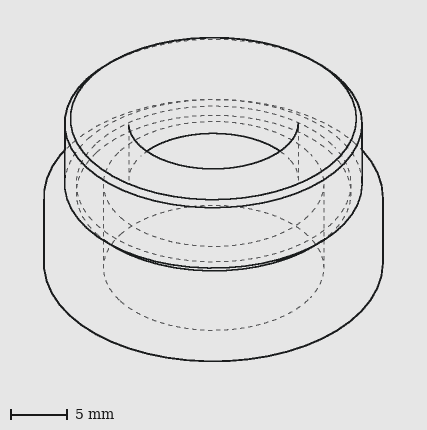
import cadquery as cq
import math

flange_diameter = 30.0
height = 16.0
flange_height = 8.0
neck_diameter = 24.3
neck_height = 1.0
spigot_diameter = 26.3
bore_diameter = 15.0
counterbore_diameter = 19.5
counterbore_depth = 9.0
edge_size = 0.5

spigot_base = flange_height + neck_height
spigot_height = height - spigot_base


def disc(diameter, thickness, base):
    """Solid disc on the Z axis, standing on the given height."""
    return cq.Workplane("XY").workplane(offset=base).circle(diameter / 2).extrude(thickness)


flange = disc(flange_diameter, flange_height, 0).edges().fillet(edge_size)

neck = disc(neck_diameter, neck_height, flange_height)

spigot = disc(spigot_diameter, spigot_height, spigot_base).faces(">Z").edges().chamfer(edge_size)

body = flange.union(neck).union(spigot)
counterbore = disc(counterbore_diameter, counterbore_depth, 0)
bore_length = height - counterbore_depth
bore_radius = bore_diameter / 2
mouth_radius = bore_radius + edge_size
corner_inset = edge_size * (1 - math.sqrt(0.5))
bore = (
    cq.Workplane("XZ", origin=(0, 0, counterbore_depth))
    .lineTo(mouth_radius, 0)
    .threePointArc((bore_radius + corner_inset, corner_inset), (bore_radius, edge_size))
    .lineTo(bore_radius, bore_length - edge_size)
    .threePointArc((bore_radius + corner_inset, bore_length - corner_inset), (mouth_radius, bore_length))
    .lineTo(0, bore_length)
    .close()
    .revolve(360, (0, 0), (0, 1))
)

result = body.cut(counterbore).cut(bore)